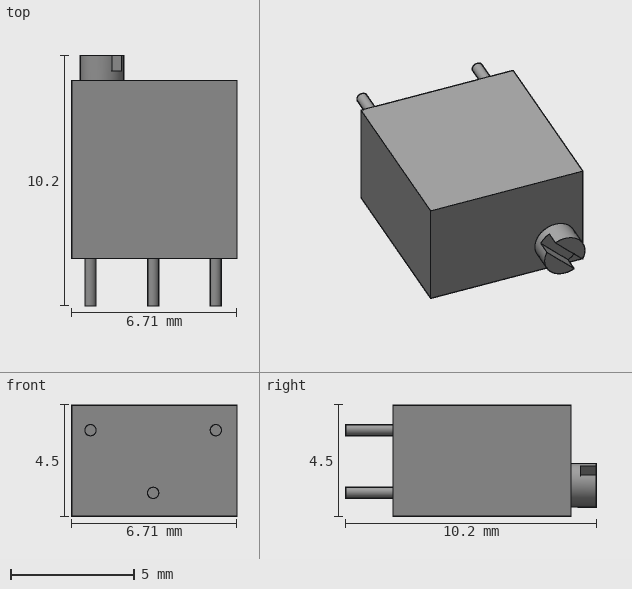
import cadquery as cq

body_width = 6.71
body_height = 4.5
overall_length = 10.16
screw_length = 1.02
pin_length = 1.92
body_length = overall_length - screw_length - pin_length

pin_diameter = 0.46
pin_pitch = 2.54
middle_pin_x = -0.05
upper_pin_z = 1.24
lower_pin_z = upper_pin_z - pin_pitch

screw_diameter = 1.78
screw_x = -2.12
screw_z = -1.0
slot_width = 0.53
slot_depth = 0.64
slot_angle = 45.0

front_y = -body_length / 2
back_y = body_length / 2


def cylinder_along_y(diameter, length, x, start_y, z):
    """Cylinder that starts at start_y and runs toward +Y."""
    return cq.Workplane(
        cq.Solid.makeCylinder(diameter / 2, length, cq.Vector(x, start_y, z), cq.Vector(0, 1, 0))
    )


def make_screw():
    """Screw head with a diagonal screwdriver slot through its end face."""
    head = cylinder_along_y(screw_diameter, screw_length, screw_x, back_y, screw_z)
    slot = (
        cq.Workplane("XY")
        .box(2 * screw_diameter, slot_depth, slot_width)
        .rotate((0, 0, 0), (0, 1, 0), -slot_angle)
        .translate((screw_x, back_y + screw_length - slot_depth / 2, screw_z))
    )
    return head.cut(slot)


result = cq.Workplane("XY").box(body_width, body_length, body_height).union(make_screw())

pin_places = [
    (middle_pin_x - pin_pitch, upper_pin_z),
    (middle_pin_x, lower_pin_z),
    (middle_pin_x + pin_pitch, upper_pin_z),
]
for pin_x, pin_z in pin_places:
    pin = cylinder_along_y(pin_diameter, pin_length, pin_x, front_y - pin_length, pin_z)
    result = result.union(pin)